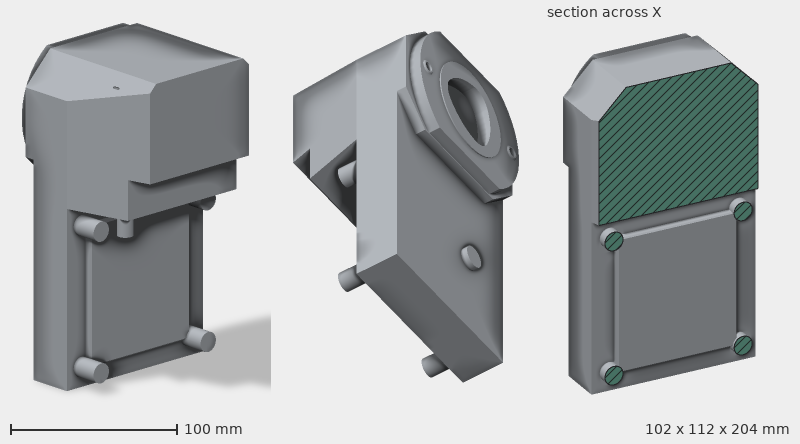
import cadquery as cq
import math

height = 204.0
width = 112.0
depth = 102.0

disc_front = 0.8
housing_front = 8.5
plate_front = 15.3
plate_back = 44.9
step_back = 86.7

axis_height = 161.8
bevel = 20.2
back_width = 81.5
housing_bottom = 115.5
step_height = 141.4

disc_radius = 52.0
disc_flat_height = 82.8
ring_radius = 31.6
socket_corner_radius = 12.9
socket_corner_offset = 11.5
socket_flank_radius = 38.0
socket_depth = 9.2

screw_offset = 44.0
screw_radius = 4.9
screw_face_radius = 3.9
screw_socket_radius = 3.0
screw_socket_depth = 2.0

knob_radius = 7.3
knob_front = 10.8
knob_y = -19.0
knob_z = 57.5

pin_radius = 6.3
pin_length = 17.5
pin_y = 44.0
pin_heights = (12.9, 102.6)
panel_thickness = 4.9
panel_width = 81.5
panel_edge_chamfer = 0.8

peg_radius = 5.0
peg_length = 13.9
peg_x = 74.9
peg_y = -36.0

slot_length = 5.7
slot_width = 1.6
slot_depth = 1.0
slot_bevel_run = 7.5

half_width = width / 2
top_half_width = half_width - bevel
octagon_half_height = height - axis_height


def cylinder_x(x_start, x_end, y, z, radius):
    """Cylinder along X between two X positions."""
    plane = cq.Workplane("YZ", origin=(x_start, y, z))
    return plane.circle(radius).extrude(x_end - x_start)


def box_between(x_range, half_y, z_range):
    """Box symmetric about Y = 0."""
    size = (x_range[1] - x_range[0], 2 * half_y, z_range[1] - z_range[0])
    corner = (x_range[0], -half_y, z_range[0])
    return cq.Workplane("XY", origin=corner).box(*size, centered=False)


def make_plate():
    return box_between((plate_front, plate_back), half_width, (0, axis_height))


def make_octagon():
    """Octagonal front part of the housing."""
    return (
        cq.Workplane("YZ", origin=(housing_front, 0, axis_height))
        .rect(width, 2 * octagon_half_height)
        .extrude(plate_front - housing_front)
        .edges("|X")
        .chamfer(bevel)
    )


def make_housing():
    """Housing tapering towards the back, bevelled on top and stepped below."""
    half_back = back_width / 2
    plan = (
        cq.Workplane("XY", origin=(0, 0, housing_bottom))
        .moveTo(plate_front, -half_width)
        .lineTo(plate_back, -half_width)
        .lineTo(depth, -half_back)
        .lineTo(depth, half_back)
        .lineTo(plate_back, half_width)
        .lineTo(plate_front, half_width)
        .close()
        .extrude(height - housing_bottom)
    )
    section = (
        cq.Workplane("YZ")
        .moveTo(-half_width, 0)
        .lineTo(half_width, 0)
        .lineTo(half_width, height - bevel)
        .lineTo(top_half_width, height)
        .lineTo(-top_half_width, height)
        .lineTo(-half_width, height - bevel)
        .close()
        .extrude(depth)
    )
    step = box_between((step_back, depth), half_width, (housing_bottom, step_height))
    return plan.intersect(section).cut(step)


def make_disc():
    """Cover disc with two flats and the raised ring face."""
    disc = cylinder_x(disc_front, housing_front, 0, axis_height, disc_radius)
    half_flat = disc_flat_height / 2
    flats = (axis_height - half_flat, axis_height + half_flat)
    disc = disc.intersect(box_between((0, depth), half_width, flats))
    return disc.union(cylinder_x(0, housing_front, 0, axis_height, ring_radius))


def make_socket():
    """Rounded three-lobed recess: wide flank arcs tangent to corner arcs.

    Each flank arc is centred on the axis of the opposite corner, at a distance
    that puts the corner arc inside it and tangent to it.
    """
    span = socket_flank_radius - socket_corner_radius
    half_angle = math.pi / 3
    corner_y = socket_corner_offset * math.sin(half_angle)
    corner_x = socket_corner_offset * math.cos(half_angle)
    flank_offset = math.sqrt(span**2 - corner_y**2) - corner_x
    tangent_angle = half_angle - math.atan2(corner_y, corner_x + flank_offset)

    def corner_point(axis_angle, turn):
        direction = axis_angle + turn
        return (
            socket_corner_offset * math.cos(axis_angle) + socket_corner_radius * math.cos(direction),
            socket_corner_offset * math.sin(axis_angle) + socket_corner_radius * math.sin(direction),
        )

    def flank_middle(axis_angle):
        reach = socket_flank_radius - flank_offset
        return (reach * math.cos(axis_angle), reach * math.sin(axis_angle))

    corner_angles = [2 * half_angle * index for index in range(3)]
    outline = cq.Workplane("YZ", origin=(0, 0, axis_height))
    outline = outline.moveTo(*corner_point(corner_angles[0], -tangent_angle))
    for angle in corner_angles:
        next_angle = angle + 2 * half_angle
        outline = outline.threePointArc(corner_point(angle, 0), corner_point(angle, tangent_angle))
        outline = outline.threePointArc(
            flank_middle(angle + half_angle), corner_point(next_angle, -tangent_angle)
        )
    return outline.close().extrude(socket_depth)


def add_cover_screws(body):
    """Low conical screw heads with round sockets, either side of the ring."""
    for y in (-screw_offset, screw_offset):
        head = (
            cq.Workplane("YZ", origin=(0, y, axis_height))
            .circle(screw_face_radius)
            .workplane(offset=disc_front)
            .circle(screw_radius)
            .loft()
        )
        body = body.union(head)
        body = body.cut(cylinder_x(0, screw_socket_depth, y, axis_height, screw_socket_radius))
    return body


def make_knob():
    return cylinder_x(knob_front, plate_front, knob_y, knob_z, knob_radius)


def make_back_panel():
    """Panel between the pin rows with a small chamfer around its back face."""
    panel = box_between((plate_back, plate_back + panel_thickness), panel_width / 2, pin_heights)
    return panel.faces(">X").chamfer(panel_edge_chamfer)


def make_back_pins():
    pins = cq.Workplane("YZ", origin=(plate_back, 0, 0))
    centres = [(y, z) for y in (-pin_y, pin_y) for z in pin_heights]
    return pins.pushPoints(centres).circle(pin_radius).extrude(pin_length)


def make_peg():
    top = cq.Workplane("XY", origin=(peg_x, peg_y, housing_bottom))
    return top.circle(peg_radius).extrude(-peg_length)


def make_bevel_slot():
    """Shallow slot sunk square into the -Y bevel."""
    bevel_plane = cq.Plane(
        origin=(peg_x, -top_half_width - slot_bevel_run, height - slot_bevel_run),
        xDir=(1, 0, 0),
        normal=(0, -1, 1),
    )
    return cq.Workplane(bevel_plane).slot2D(slot_length, slot_width).extrude(-slot_depth)


result = make_plate().union(make_octagon()).union(make_housing())
result = result.union(make_disc()).cut(make_socket())
result = add_cover_screws(result)
result = result.union(make_knob()).union(make_back_panel()).union(make_back_pins())
result = result.union(make_peg()).cut(make_bevel_slot())